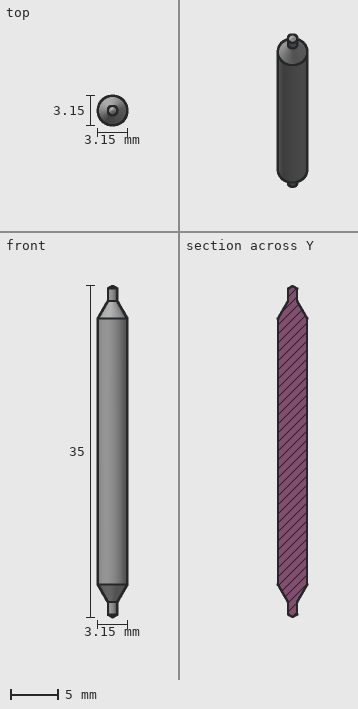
import cadquery as cq
import math

total_length = 35.0
body_diameter = 3.15
pilot_diameter = 1.0
pilot_end_length = 1.6
taper_half_angle = 30.0
point_half_angle = 60

body_radius = body_diameter / 2
pilot_radius = pilot_diameter / 2
taper_length = (body_radius - pilot_radius) / math.tan(math.radians(taper_half_angle))
point_length = pilot_radius / math.tan(math.radians(point_half_angle))

tip_z = total_length / 2
point_base_z = tip_z - point_length
taper_top_z = tip_z - pilot_end_length
taper_base_z = taper_top_z - taper_length

upper_profile = [
    (body_radius, taper_base_z),
    (pilot_radius, taper_top_z),
    (pilot_radius, point_base_z),
    (0, tip_z),
]
lower_profile = [(radius, -z) for radius, z in reversed(upper_profile)]

result = (
    cq.Workplane("XZ")
    .polyline(lower_profile + upper_profile)
    .close()
    .revolve(360, (0, 0, 0), (0, 1, 0))
)